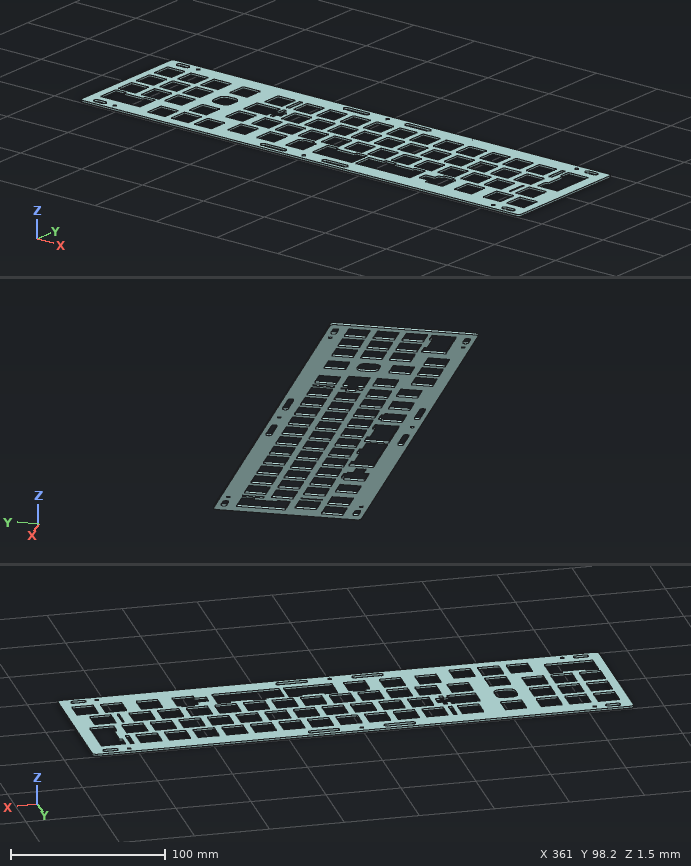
import cadquery as cq

LENGTH = 361.0
WIDTH = 98.2
THICKNESS = 1.5
CORNER_RADIUS = 3.0

KEY_SPAN = 333.5
SPAN_IN_PITCHES = 17.5
PITCH = KEY_SPAN / SPAN_IN_PITCHES
ROW_COUNT = 4
KEY_WEB = 5.0
KEY_SIZE = PITCH - KEY_WEB
OPENING_CORNER_RADIUS = 0.3
CLUSTER_DROP = PITCH / 4

KEY_COLUMNS = [
    [0, 1, 2, 3.25, 4.75] + [6 + i for i in range(11)],
    [0, 1, 2, 4.625, 4.875] + [6.25 + i for i in range(11)],
    [0, 1, 2, 4.625] + [5.75 + i for i in range(11)] + [17.125],
    [5.5, 6.75, 8, 11, 14, 15.25, 16.5, 17.5],
]
ARROW_COLUMNS = [2.25, 3.25, 4.25]
UP_ARROW_COLUMN = 3.25

WIDE_KEY_LENGTH = 32.0
EAR_GAP = 15.5
EAR_RISE = 2.0
EAR_WIDTH = (WIDE_KEY_LENGTH - EAR_GAP) / 2
WIDE_KEY_COLUMNS = [0.5, 9.625, 12.125]
SPACE_EAR_COLUMNS = [8, 14]
ENTER_COLUMN = 17.375
ENTER_ROW = 0.5

POCKET_HEIGHT = 6.5
CAPS_COLUMN = 4.875
CAPS_ROW = 1
CAPS_POCKET_REACH = 15.5
SPACE_POCKET_COLUMN = 14
SPACE_POCKET_REACH = 14.8

RELIEF_SLOT_WIDTH = 2.25
NARROW_SLOT_WIDTH = 1.0
RELIEF_SLOTS = [
    (5.375, 0, RELIEF_SLOT_WIDTH),
    (16.675, 0, RELIEF_SLOT_WIDTH),
    (5.46, CAPS_ROW, RELIEF_SLOT_WIDTH),
    (16.5, 2, NARROW_SLOT_WIDTH),
]

KNOB_COLUMN = 3.25
KNOB_Y = 7.5
KNOB_CORNER_RADIUS = 4.5

EDGE_SLOT_WIDTH = 3.5
EDGE_SLOT_Y = 43.7
LONG_SLOT_LENGTH = 20.5
LONG_SLOT_X = 25.3
SHORT_SLOT_LENGTH = 9.7
SHORT_SLOT_X = 167.5
HOLE_DIAMETER = 2.25
HOLE_X = 155.2
HOLE_Y = 44.0


def column_x(column):
    return column * PITCH - KEY_SPAN / 2


def row_y(row):
    return ((ROW_COUNT - 1) / 2 - row) * PITCH


def block(x, y, size_x, size_y):
    return cq.Workplane("XY").center(x, y).rect(size_x, size_y).extrude(THICKNESS)


def ear(x, y):
    """Ear reaching from the key centre line to just above the key opening."""
    height = KEY_SIZE / 2 + EAR_RISE
    return block(x, y + height / 2, EAR_WIDTH, height)


def wide_key_opening(x, y):
    opening = block(x, y, WIDE_KEY_LENGTH, KEY_SIZE)
    ear_offset = (EAR_GAP + EAR_WIDTH) / 2
    for side in (-1, 1):
        opening = opening.union(ear(x + side * ear_offset, y))
    return opening


def upright_wide_key_opening(x, y):
    flat = wide_key_opening(0, 0)
    return flat.rotate((0, 0, 0), (0, 0, 1), 90).translate((x, y, 0))


def pocket(x, y, reach):
    """Pocket from a key centre sideways; a negative reach goes toward -X."""
    return block(x + reach / 2, y, abs(reach), POCKET_HEIGHT)


def mirrored(x, y):
    return [(x, y), (-x, y), (x, -y), (-x, -y)]


plate = (
    cq.Workplane("XY")
    .rect(LENGTH, WIDTH)
    .extrude(THICKNESS)
    .edges("|Z")
    .fillet(CORNER_RADIUS)
)

bottom_row = ROW_COUNT - 1
key_centres = []
for row, columns in enumerate(KEY_COLUMNS):
    for column in columns:
        key_centres.append((column_x(column), row_y(row)))
for column in ARROW_COLUMNS:
    key_centres.append((column_x(column), row_y(bottom_row) - CLUSTER_DROP))
key_centres.append((column_x(UP_ARROW_COLUMN), row_y(bottom_row - 1) - CLUSTER_DROP))
openings = (
    cq.Workplane("XY")
    .pushPoints(key_centres)
    .rect(KEY_SIZE, KEY_SIZE)
    .extrude(THICKNESS)
)

for column in WIDE_KEY_COLUMNS:
    openings = openings.union(wide_key_opening(column_x(column), row_y(bottom_row)))
openings = openings.union(upright_wide_key_opening(column_x(ENTER_COLUMN), row_y(ENTER_ROW)))
for column in SPACE_EAR_COLUMNS:
    openings = openings.union(ear(column_x(column), row_y(bottom_row)))
openings = openings.union(pocket(column_x(CAPS_COLUMN), row_y(CAPS_ROW), CAPS_POCKET_REACH))
openings = openings.union(pocket(column_x(SPACE_POCKET_COLUMN), row_y(bottom_row), -SPACE_POCKET_REACH))

for column, row, slot_width in RELIEF_SLOTS:
    openings = openings.union(block(column_x(column), row_y(row), slot_width, KEY_SIZE))

openings = openings.edges("|Z").fillet(OPENING_CORNER_RADIUS)

knob_opening = (
    block(column_x(KNOB_COLUMN), KNOB_Y, KEY_SIZE, KEY_SIZE)
    .edges("|Z")
    .fillet(KNOB_CORNER_RADIUS)
)

edge_cuts = (
    cq.Workplane("XY")
    .pushPoints(mirrored(LONG_SLOT_X, EDGE_SLOT_Y))
    .slot2D(LONG_SLOT_LENGTH, EDGE_SLOT_WIDTH)
    .pushPoints(mirrored(SHORT_SLOT_X, EDGE_SLOT_Y))
    .slot2D(SHORT_SLOT_LENGTH, EDGE_SLOT_WIDTH)
    .pushPoints(mirrored(HOLE_X, HOLE_Y) + [(0, HOLE_Y), (0, -HOLE_Y)])
    .circle(HOLE_DIAMETER / 2)
    .extrude(THICKNESS)
)

result = plate.cut(openings).cut(knob_opening).cut(edge_cuts)